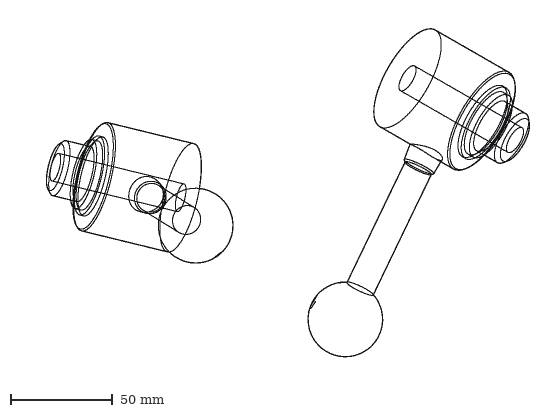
import cadquery as cq
import math

length = 66.5
hub_radius = 27.5
hub_start = 20.0
hub_chamfer = 0.8
flange_radius = 20.0
flange_start = 18.0
shoulder_radius = 17.5
shoulder_start = 14.9
nose_radius = 14.0
nose_chamfer = 2.1
bore_radius = 7.0

lever_x = 40.3
lever_angle = 45
rod_radius = 7.2
collar_tip_radius = 8.1
collar_taper_angle = 5
collar_end = 36.4
collar_chamfer = 0.9
ball_radius = 18.5
overall_height = 130.8
ball_drop = overall_height - hub_radius - ball_radius
ball_distance = ball_drop / math.sin(math.radians(lever_angle))


def x_cylinder(radius, start, end):
    """Cylinder on the hub axis between two X positions."""
    return cq.Workplane("YZ", origin=(start, 0, 0)).circle(radius).extrude(end - start)


def make_hub():
    nose = x_cylinder(nose_radius, 0, shoulder_start).faces("<X").chamfer(nose_chamfer)
    shoulder = x_cylinder(shoulder_radius, shoulder_start, flange_start)
    flange = x_cylinder(flange_radius, flange_start, hub_start)
    body = x_cylinder(hub_radius, hub_start, length).faces("<X").chamfer(hub_chamfer)
    return body.union(flange).union(shoulder).union(nose)


def make_lever():
    """Lever along +Y from the hub axis, before it is tilted: a rod and a tapered, chamfered collar."""
    rod = cq.Workplane("XZ", origin=(lever_x, 0, 0)).circle(rod_radius).extrude(-ball_distance)
    taper_end = collar_end - collar_chamfer
    collar_base_radius = collar_tip_radius + taper_end * math.tan(math.radians(collar_taper_angle))
    collar = (
        cq.Workplane("XY", origin=(lever_x, 0, 0))
        .lineTo(collar_base_radius, 0)
        .lineTo(collar_tip_radius, taper_end)
        .lineTo(collar_tip_radius - collar_chamfer, collar_end)
        .lineTo(0, collar_end)
        .close()
        .revolve(360, (0, 0), (0, 1))
    )
    return rod.union(collar)


def tilt(shape):
    """Turn a shape about the hub axis from +Y down to the lever direction."""
    return shape.rotate((0, 0, 0), (1, 0, 0), -lever_angle)


ball = cq.Workplane("XY").sphere(ball_radius).translate((lever_x, ball_drop, -ball_drop))
bore = x_cylinder(bore_radius, 0, length)

result = make_hub().union(tilt(make_lever())).union(ball).cut(bore)